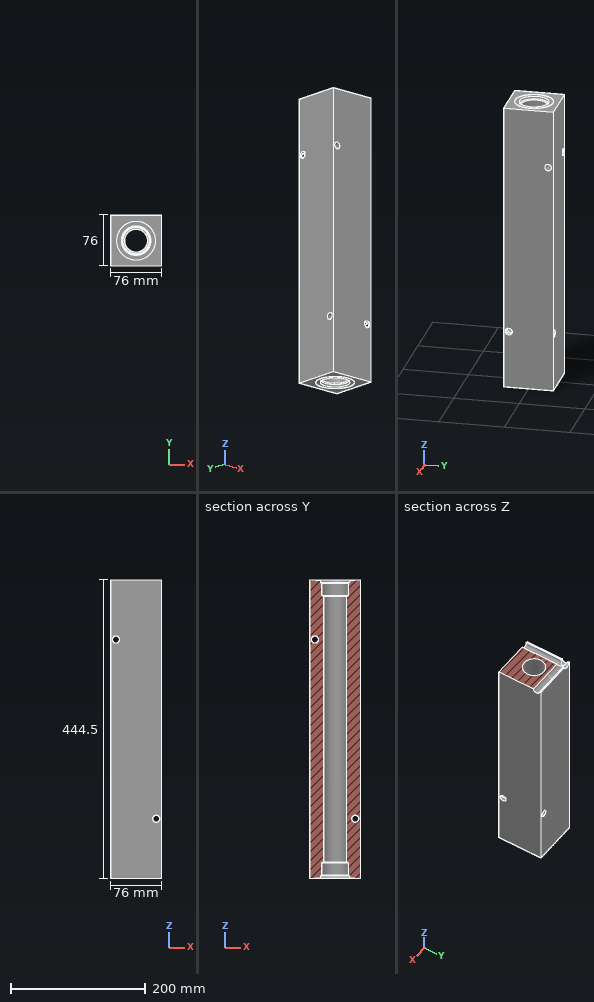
import cadquery as cq
import math

side = 76.0
length = 444.5

bore_diameter = 34.0
spotface_diameter = 58.0
spotface_depth = 0.5
seal_mouth_diameter = 44.0
seal_half_angle = 15.0
seal_depth = 3.5
port_diameter = 39.0
port_depth = 22.5
drill_point_angle = 118.0

cross_hole_diameter = 10.2
edge_distance = 8.0
end_distance = 89.0

half_side = side / 2
half_length = length / 2
cross_offset = half_side - edge_distance
cross_height = half_length - end_distance


def port_cutter():
    """Revolved cutter for the top port: spotface, seal cone, chamfer, port and drill point."""
    spotface_radius = spotface_diameter / 2
    mouth_radius = seal_mouth_diameter / 2
    port_radius = port_diameter / 2

    spotface_z = half_length - spotface_depth
    seal_z = spotface_z - seal_depth
    seal_radius = mouth_radius - seal_depth * math.tan(math.radians(seal_half_angle))
    chamfer_z = seal_z - (seal_radius - port_radius)
    port_z = spotface_z - port_depth
    point_z = port_z - port_radius / math.tan(math.radians(drill_point_angle / 2))

    return (
        cq.Workplane("XZ")
        .moveTo(0, half_length)
        .lineTo(spotface_radius, half_length)
        .lineTo(spotface_radius, spotface_z)
        .lineTo(mouth_radius, spotface_z)
        .lineTo(seal_radius, seal_z)
        .lineTo(port_radius, chamfer_z)
        .lineTo(port_radius, port_z)
        .lineTo(0, point_z)
        .close()
        .revolve(360, (0, 0, 0), (0, 1, 0))
    )


def cross_holes(plane, upper_offset):
    """Two through holes: one at upper_offset near the top, its opposite near the bottom."""
    return (
        cq.Workplane(plane)
        .pushPoints([(upper_offset, cross_height), (-upper_offset, -cross_height)])
        .circle(cross_hole_diameter / 2)
        .extrude(half_side, both=True)
    )


bar = cq.Workplane("XY").box(side, side, length)
bore = cq.Workplane("XY").circle(bore_diameter / 2).extrude(half_length, both=True)
top_port = port_cutter()
bottom_port = top_port.mirror("XY")

result = bar.cut(bore).cut(top_port).cut(bottom_port)
result = result.cut(cross_holes("XZ", -cross_offset))
result = result.cut(cross_holes("YZ", cross_offset))